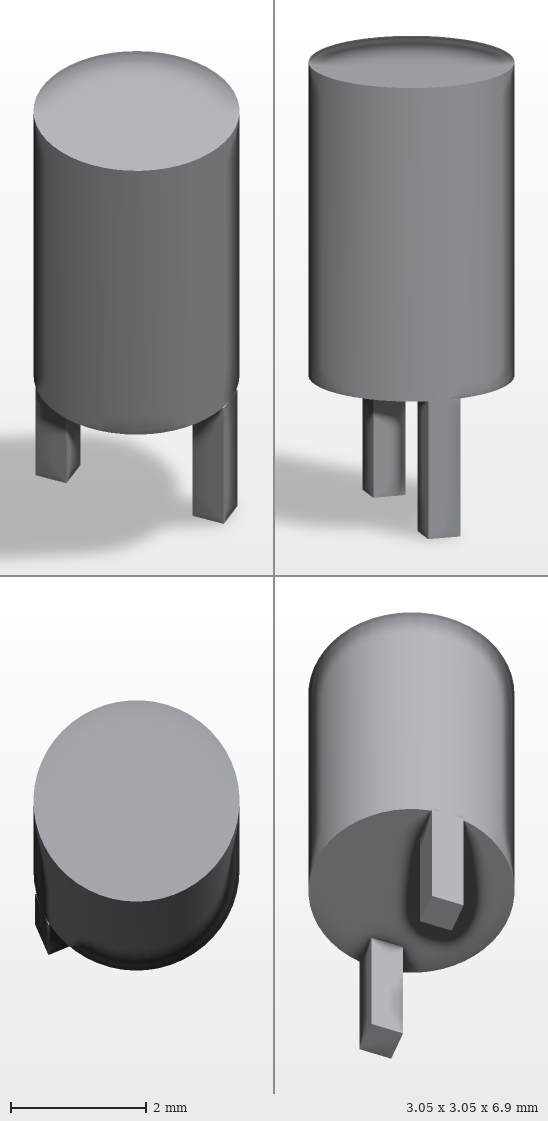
import cadquery as cq

total_height = 6.9
body_diameter = 3.05
body_height = 4.795
leg_width = 0.505

leg_length = total_height - body_height
leg_offset = (body_diameter - leg_width) / 2

body = cq.Workplane("XY").circle(body_diameter / 2).extrude(body_height)

legs = (
    cq.Workplane("XY")
    .pushPoints([(-leg_offset, 0), (leg_offset, 0)])
    .rect(leg_width, leg_width)
    .extrude(-leg_length)
)

result = body.union(legs)